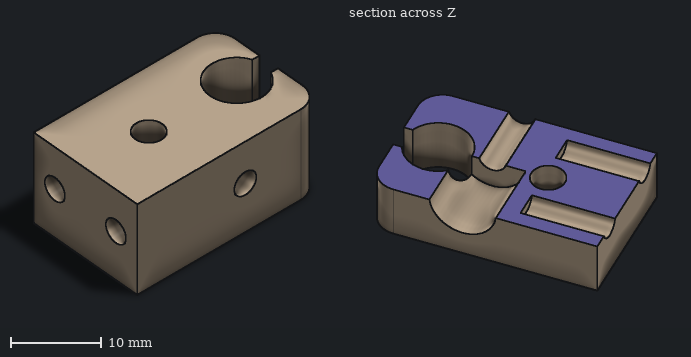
import cadquery as cq

width = 17.0
length = 27.5
height = 13.0
corner_radius = 3.0

clip_diameter = 8.0
clip_setback = 4.8
slot_width = 3.0
clip_y = length - clip_setback

mount_diameter = 4.0
mount_y = 9.5

screw_diameter = 3.3
screw_y = 16.2
screw_z = 7.0
counterbore_diameter = 8.0
counterbore_depth = width / 2

front_hole_diameter = 3.3
front_hole_spacing = 10.0
front_hole_depth = 10.0


def make_block():
    """Block centred on X = 0 with its two rear vertical edges rounded."""
    block = cq.Workplane("XY").box(width, length, height, centered=(True, False, False))
    return block.edges("|Z and >Y").fillet(corner_radius)


def vertical_hole(diameter, y):
    """Cylinder running the full height on the centre plane."""
    return cq.Workplane("XY").center(0, y).circle(diameter / 2).extrude(height)


def clip_slot():
    """Slot joining the clip bore to the back face."""
    slot = cq.Workplane("XY").box(slot_width, clip_setback, height, centered=(True, False, False))
    return slot.translate((0, clip_y, 0))


def side_hole(diameter, depth):
    """Cylinder entering the left face on the clamp screw axis."""
    left_face = cq.Workplane("YZ", origin=(-width / 2, screw_y, screw_z))
    return left_face.circle(diameter / 2).extrude(depth)


def front_hole(x):
    """Blind cylinder entering the front face."""
    front_face = cq.Workplane("XZ", origin=(x, 0, screw_z))
    return front_face.circle(front_hole_diameter / 2).extrude(-front_hole_depth)


result = make_block()
result = result.cut(vertical_hole(clip_diameter, clip_y))
result = result.cut(clip_slot())
result = result.cut(vertical_hole(mount_diameter, mount_y))
result = result.cut(side_hole(screw_diameter, width))
result = result.cut(side_hole(counterbore_diameter, counterbore_depth))
for side in (-1, 1):
    result = result.cut(front_hole(side * front_hole_spacing / 2))